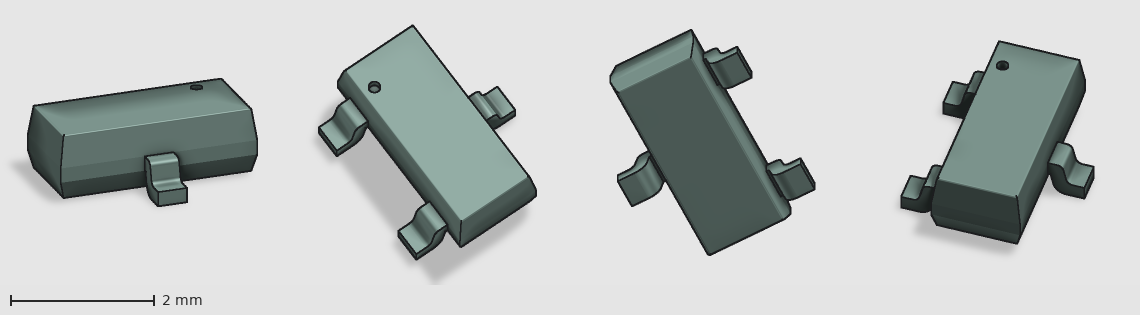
import cadquery as cq
import math

overall_width = 2.37
body_length = 2.92
body_width = 1.302
body_bottom = 0.055
body_top = 1.01
belt_bottom = 0.33
edge_radius = 0.032
top_draft = 8.0
bottom_draft = 14.0

lead_thickness = 0.215
belt_top = belt_bottom + lead_thickness
lead_width = 0.43
lead_pitch = 0.95
lead_lean = 13.0
bend_radius = 0.1
heel_radius = 2 * bend_radius
foot_top_corner = 0.248

marker_diameter = 0.164
marker_depth = 0.145
marker_x = -0.388


def tapered_block(base_z, height, draft):
    """Drafted block that starts at the belt outline; negative height goes down."""
    return (
        cq.Workplane("XY")
        .workplane(offset=base_z)
        .rect(body_width, body_length)
        .extrude(height, taper=draft)
    )


def make_body():
    belt = (
        cq.Workplane("XY")
        .workplane(offset=belt_bottom)
        .rect(body_width, body_length)
        .extrude(lead_thickness)
    )
    upper = tapered_block(belt_top, body_top - belt_top, top_draft).faces(">Z").edges().fillet(edge_radius)
    lower = (
        tapered_block(belt_bottom, body_bottom - belt_bottom, bottom_draft)
        .faces("<Z")
        .edges()
        .fillet(edge_radius)
    )
    marker = (
        cq.Workplane("XY")
        .workplane(offset=body_top - marker_depth)
        .center(marker_x, lead_pitch)
        .circle(marker_diameter / 2)
        .extrude(marker_depth)
    )
    return belt.union(upper).union(lower).cut(marker)


def make_lead(y_center):
    """Gull-wing lead on the -X side, butting against the belt of the body."""
    tip_x = -overall_width / 2
    body_x = -body_width / 2
    lean = math.tan(math.radians(lead_lean))
    leg_width = lead_thickness / math.cos(math.radians(lead_lean))

    def leg_outer_x(z):
        return tip_x + foot_top_corner + (z - lead_thickness) * lean

    def leg_inner_x(z):
        return leg_outer_x(z) + leg_width

    foot_corner = (leg_outer_x(lead_thickness), lead_thickness)
    shoulder = (leg_outer_x(belt_top), belt_top)
    heel = (leg_inner_x(0), 0)
    outline = [
        (tip_x, 0),
        (tip_x, lead_thickness),
        foot_corner,
        shoulder,
        (body_x, belt_top),
        (body_x, belt_bottom),
        (leg_inner_x(belt_bottom), belt_bottom),
        heel,
    ]
    lead = (
        cq.Workplane("XZ", origin=(0, y_center, 0))
        .polyline(outline)
        .close()
        .extrude(lead_width / 2, both=True)
    )
    rounded_corners = [(foot_corner, bend_radius), (shoulder, bend_radius), (heel, heel_radius)]
    for (x, z), radius in rounded_corners:
        corner_edge = cq.selectors.NearestToPointSelector((x, y_center, z))
        lead = lead.edges("|Y").edges(corner_edge).fillet(radius)
    return lead


body = make_body()
leads = [make_lead(y) for y in (-lead_pitch, lead_pitch)]
leads.append(make_lead(0).rotate((0, 0, 0), (0, 0, 1), 180))

result = cq.Compound.makeCompound([body.val(), *[lead.val() for lead in leads]])